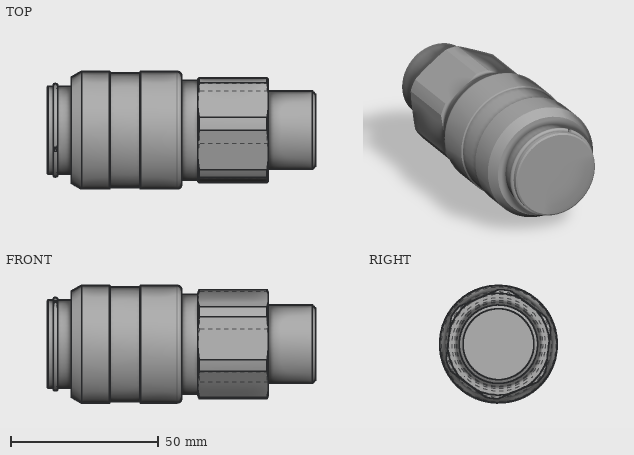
import cadquery as cq
import math


nose_diameter = 30.0
nose_face_diameter = 28.9
nose_chamfer_length = 0.4

wire_diameter = 1.6
groove_start = 2.0
groove_end = groove_start + wire_diameter
groove_diameter = 28.5
ring_gap_angle = 5
ring_gap_center_angle = 24

sleeve_start = 8.1
sleeve_end = 45.7
sleeve_diameter = 40.0
front_bevel_end = 11.7
front_bevel_angle = 30
rear_round_radius = 1.7
band_start = 21.2
band_end = 31.8
band_diameter = 39.0
band_wall_run = 0.3

neck_diameter = 34.0
hex_start = 51.2
hex_end = 75.1
hex_across_flats = 34.0
hex_corner_diameter = 37.05
hex_face_diameter = 34.6
hex_chamfer_length = 0.5
hex_turn_angle = 6.8

stub_diameter = 26.6
stub_chamfer = 1.3
length = 91.25


def revolve_about_x(profile):
    """Closes a half profile along the X axis and turns it into a solid."""
    return profile.close().revolve(360, (0, 0, 0), (1, 0, 0))


def make_front():
    """Nose, grip sleeve and neck, up to the front face of the hexagon."""
    nose_radius = nose_diameter / 2
    groove_radius = groove_diameter / 2
    sleeve_radius = sleeve_diameter / 2
    band_radius = band_diameter / 2
    bevel_depth = (front_bevel_end - sleeve_start) * math.tan(math.radians(front_bevel_angle))
    round_start = sleeve_end - rear_round_radius
    round_middle_offset = rear_round_radius * (1 - math.sqrt(0.5))

    return revolve_about_x(
        cq.Workplane("XY")
        .moveTo(0, 0)
        .lineTo(0, nose_face_diameter / 2)
        .lineTo(nose_chamfer_length, nose_radius)
        .lineTo(groove_start, nose_radius)
        .lineTo(groove_start, groove_radius)
        .lineTo(groove_end, groove_radius)
        .lineTo(groove_end, nose_radius)
        .lineTo(sleeve_start, nose_radius)
        .lineTo(sleeve_start, sleeve_radius - bevel_depth)
        .lineTo(front_bevel_end, sleeve_radius)
        .lineTo(band_start, sleeve_radius)
        .lineTo(band_start + band_wall_run, band_radius)
        .lineTo(band_end - band_wall_run, band_radius)
        .lineTo(band_end, sleeve_radius)
        .lineTo(round_start, sleeve_radius)
        .threePointArc(
            (sleeve_end - round_middle_offset, sleeve_radius - round_middle_offset),
            (sleeve_end, sleeve_radius - rear_round_radius),
        )
        .lineTo(sleeve_end, neck_diameter / 2)
        .lineTo(hex_start, neck_diameter / 2)
        .lineTo(hex_start, 0)
    )


def make_hexagon():
    """Hexagonal prism with its corners turned round and both ends chamfered."""
    corner_radius = hex_corner_diameter / 2
    face_radius = hex_face_diameter / 2
    sharp_corner_diameter = hex_across_flats / math.cos(math.pi / 6)
    prism = (
        cq.Workplane("YZ", origin=(hex_start, 0, 0))
        .polygon(6, sharp_corner_diameter)
        .extrude(hex_end - hex_start)
        .rotate((0, 0, 0), (1, 0, 0), 90 - hex_turn_angle)
    )
    turned_blank = revolve_about_x(
        cq.Workplane("XY")
        .moveTo(hex_start, 0)
        .lineTo(hex_start, face_radius)
        .lineTo(hex_start + hex_chamfer_length, corner_radius)
        .lineTo(hex_end - hex_chamfer_length, corner_radius)
        .lineTo(hex_end, face_radius)
        .lineTo(hex_end, 0)
    )
    return prism.intersect(turned_blank)


def make_stub():
    """Plain cylinder behind the hexagon, chamfered at 45 degrees at its free end."""
    stub_radius = stub_diameter / 2
    return revolve_about_x(
        cq.Workplane("XY")
        .moveTo(hex_end, 0)
        .lineTo(hex_end, stub_radius)
        .lineTo(length - stub_chamfer, stub_radius)
        .lineTo(length, stub_radius - stub_chamfer)
        .lineTo(length, 0)
    )


def make_snap_ring():
    """Open ring of round wire resting on the floor of the groove."""
    wire_radius = wire_diameter / 2
    ring_radius = groove_diameter / 2 + wire_radius
    first_end_angle = 90 + ring_gap_center_angle + ring_gap_angle / 2
    return (
        cq.Workplane("XY")
        .center(groove_start + wire_radius, ring_radius)
        .circle(wire_radius)
        .revolve(360 - ring_gap_angle, (0, -ring_radius), (1, -ring_radius))
        .rotate((0, 0, 0), (1, 0, 0), first_end_angle)
    )


coupling = make_front().union(make_hexagon()).union(make_stub()).solids()
snap_ring = make_snap_ring()

result = cq.Compound.makeCompound([coupling.val(), snap_ring.val()])